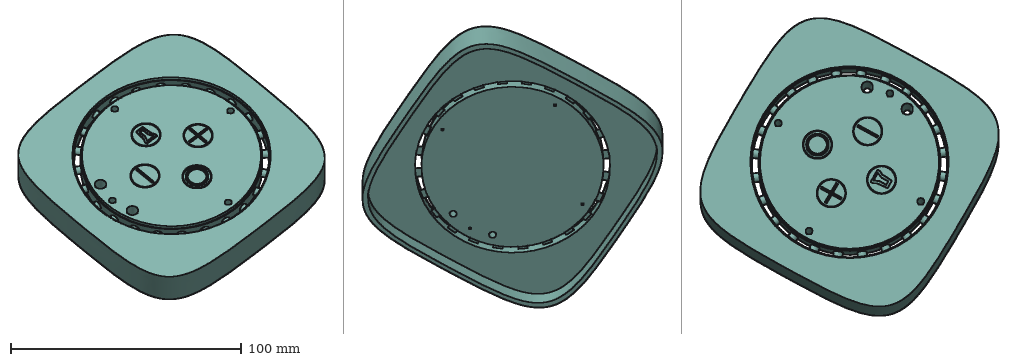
import cadquery as cq
import math

SIDE = 110.0
HEIGHT = 16.15
COVER_HEIGHT = 4.8
SHELL_HEIGHT = HEIGHT - COVER_HEIGHT
HALF_SIDE = SIDE / 2
FLAT_HALF = 4.2
CORNER_PULL = 46.7

WALL = 2.0
PLATE_THICKNESS = 8.0
PLATE_BOTTOM = HEIGHT - PLATE_THICKNESS

DISC_DIAMETER = 77.71
RING_DIAMETER = 86.29
RIM_DEPTH = 1.2
RIM_DRAFT = 0.35
LEDGE_WIDTH = 0.4
GAP_INNER_RADIUS = DISC_DIAMETER / 2 + RIM_DRAFT + LEDGE_WIDTH
GAP_OUTER_RADIUS = RING_DIAMETER / 2 - RIM_DRAFT - LEDGE_WIDTH

SPOKE_COUNT = 24
SPOKE_WIDTH = 4.2
SPOKE_HEIGHT = 1.8
SPOKE_BASE = SHELL_HEIGHT
SPOKE_OVERLAP = 0.3

HOLE_DIAMETER = 3.0
HOLE_MOUTH = 5.0
HOLE_X = 10.0
HOLE_Y = -33.2
PIN_HOLE_DIAMETER = 1.0
PIN_HOLE_MOUTH = 3.0
PIN_HOLE_RADIUS = 35.6

BUTTON_DIAMETER = 12.8
BUTTON_INNER = 12.0
BUTTON_OFFSET = 16.0
ENGRAVING_DEPTH = 0.5
ENGRAVING_DRAFT = 40
BAR_LENGTH = 10.0
BAR_WIDTH = 1.0
CIRCLE_OUTER = 10.0
CIRCLE_INNER = 8.0

LAMP_OUTER_HALF = [(-4.1, -1.9), (1.0, -2.3), (2.5, -3.1), (3.7, -3.1)]
LAMP_INNER_HALF = [(-2.9, -0.9), (0.5, -0.9), (2.9, -1.9)]


def body_outline(plane_height, inset=0.0):
    """Closed rounded square: short straight middles joined by curved corners."""
    half = HALF_SIDE - inset
    near = FLAT_HALF
    far = FLAT_HALF + CORNER_PULL - inset
    outline = cq.Workplane("XY", origin=(0, 0, plane_height)).moveTo(half, -near)
    for quarter in range(4):
        angle = quarter * math.pi / 2
        corner = [(half, 0), (half, near), (half, far), (far, half), (near, half)]
        turned = [
            (x * math.cos(angle) - y * math.sin(angle), x * math.sin(angle) + y * math.cos(angle))
            for x, y in corner
        ]
        outline = outline.lineTo(*turned[0]).lineTo(*turned[1]).bezier(turned[1:])
    return outline.close()


def ring_gap():
    disc_edge = DISC_DIAMETER / 2
    ring_edge = RING_DIAMETER / 2
    ledge = HEIGHT - RIM_DEPTH
    return (
        cq.Workplane("XZ")
        .polyline(
            [
                (disc_edge, HEIGHT),
                (disc_edge + RIM_DRAFT, ledge),
                (GAP_INNER_RADIUS, ledge),
                (GAP_INNER_RADIUS, 0),
                (GAP_OUTER_RADIUS, 0),
                (GAP_OUTER_RADIUS, ledge),
                (ring_edge - RIM_DRAFT, ledge),
                (ring_edge, HEIGHT),
            ]
        )
        .close()
        .revolve(360, (0, 0, 0), (0, 1, 0))
    )


def spokes():
    start = GAP_INNER_RADIUS - SPOKE_OVERLAP
    end = GAP_OUTER_RADIUS + SPOKE_OVERLAP
    pitch = 360 / SPOKE_COUNT
    spoke = (
        cq.Workplane("YZ", origin=(start, 0, SPOKE_BASE))
        .moveTo(-SPOKE_WIDTH / 2, 0)
        .threePointArc((0, SPOKE_HEIGHT), (SPOKE_WIDTH / 2, 0))
        .close()
        .extrude(end - start)
    )
    ring = cq.Workplane("XY")
    for index in range(SPOKE_COUNT):
        ring = ring.add(spoke.rotate((0, 0, 0), (0, 0, 1), (index + 0.5) * pitch))
    return ring.combine()


def tapered_hole(x, y, mouth, bore):
    """Cone through the plate, from the mouth at the top to the bore at the underside."""
    return (
        cq.Workplane("XY", origin=(x, y, HEIGHT))
        .circle(mouth / 2)
        .workplane(offset=-PLATE_THICKNESS)
        .circle(bore / 2)
        .loft()
    )


def engraved_bar(x, y, length, width):
    return (
        cq.Workplane("XY", origin=(x, y, HEIGHT))
        .rect(length, width)
        .extrude(-ENGRAVING_DEPTH, taper=ENGRAVING_DRAFT)
    )


def engraved_circle(x, y, outer, inner):
    """Circular groove of V-shaped section."""
    middle = (outer + inner) / 4
    section = [(inner / 2, HEIGHT), (middle, HEIGHT - ENGRAVING_DEPTH), (outer / 2, HEIGHT)]
    return (
        cq.Workplane("XZ")
        .polyline(section)
        .close()
        .revolve(360, (0, 0, 0), (0, 1, 0))
        .translate((x, y, 0))
    )


def mirrored_prism(x, y, half_outline):
    """Shallow prism under the top face, from half an outline and its mirror image."""
    other_half = [(px, -py) for px, py in reversed(half_outline)]
    return (
        cq.Workplane("XY", origin=(x, y, HEIGHT))
        .polyline(half_outline + other_half)
        .close()
        .extrude(-ENGRAVING_DEPTH)
    )


def lamp_symbol(x, y):
    """Outline of a lamp lying on its side, base to the left and shade opening to the right."""
    return mirrored_prism(x, y, LAMP_OUTER_HALF).cut(mirrored_prism(x, y, LAMP_INNER_HALF))


pocket = body_outline(0, WALL).extrude(PLATE_BOTTOM)
cutters = [pocket, ring_gap()]
for side in (-1, 1):
    cutters.append(tapered_hole(side * HOLE_X, HOLE_Y, HOLE_MOUTH, HOLE_DIAMETER))
for direction_x, direction_y in ((1, 0), (0, 1), (-1, 0), (0, -1)):
    pin_x = direction_x * PIN_HOLE_RADIUS
    pin_y = direction_y * PIN_HOLE_RADIUS
    cutters.append(tapered_hole(pin_x, pin_y, PIN_HOLE_MOUTH, PIN_HOLE_DIAMETER))
    button_x = direction_x * BUTTON_OFFSET
    button_y = direction_y * BUTTON_OFFSET
    cutters.append(engraved_circle(button_x, button_y, BUTTON_DIAMETER, BUTTON_INNER))
cutters.append(engraved_bar(0, BUTTON_OFFSET, BAR_LENGTH, BAR_WIDTH))
cutters.append(engraved_bar(0, BUTTON_OFFSET, BAR_WIDTH, BAR_LENGTH))
cutters.append(engraved_bar(0, -BUTTON_OFFSET, BAR_LENGTH, BAR_WIDTH))
cutters.append(engraved_circle(BUTTON_OFFSET, 0, CIRCLE_OUTER, CIRCLE_INNER))
cutters.append(lamp_symbol(-BUTTON_OFFSET, 0))

shell = body_outline(0).extrude(SHELL_HEIGHT)
cover = body_outline(SHELL_HEIGHT).extrude(COVER_HEIGHT)
body = shell.union(cover, clean=False)
for cutter in cutters:
    body = body.cut(cutter, clean=False)
result = body.union(spokes(), clean=False)